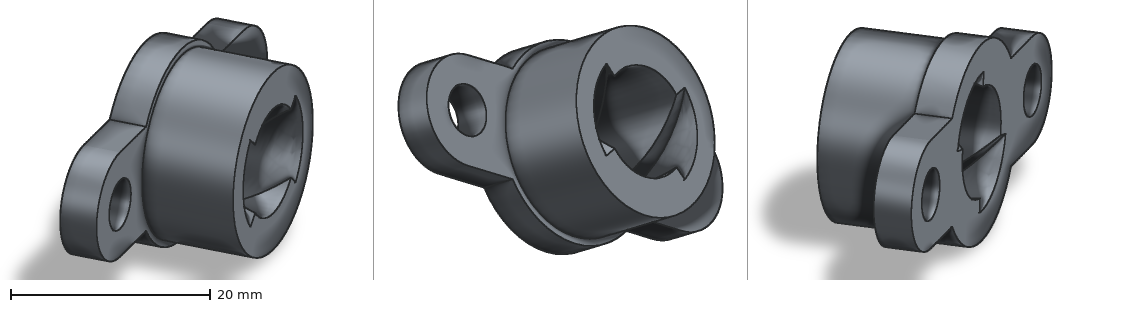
import cadquery as cq
import math

total_width = 42.2
total_depth = 14.0
flange_thickness = 4.0
flange_radius = 10.6
boss_radius = 9.88
bore_radius = 5.82
tab_radius = 5.82
tab_hole_radius = 2.7

groove_radius = 7.4
groove_start_angle = 193.2
groove_span_angle = 81.6
groove_twist_per_unit = 9.003
groove_count = 2

tab_hole_spacing = total_width - 2 * tab_radius


def make_flange():
    """Round disc with two rounded tabs along Y."""
    disc = cq.Workplane("YZ").circle(flange_radius).extrude(flange_thickness)
    tabs = cq.Workplane("YZ").slot2D(total_width, 2 * tab_radius).extrude(flange_thickness)
    tab_holes = (
        cq.Workplane("YZ")
        .rarray(tab_hole_spacing, 0.42, 2, 1)
        .circle(tab_hole_radius)
        .extrude(flange_thickness)
    )
    return disc.union(tabs).cut(tab_holes)


def polar_point(radius, angle):
    """Point in the YZ plane, with the angle in degrees from +Y toward +Z."""
    radians = math.radians(angle)
    return radius * math.cos(radians), radius * math.sin(radians)


def make_groove(start_angle):
    """Sector of the groove circle, twisted about the bore axis."""
    middle_angle = start_angle + groove_span_angle / 2
    end_angle = start_angle + groove_span_angle
    return (
        cq.Workplane("YZ")
        .lineTo(*polar_point(groove_radius, start_angle))
        .threePointArc(polar_point(groove_radius, middle_angle), polar_point(groove_radius, end_angle))
        .close()
        .twistExtrude(total_depth, groove_twist_per_unit * total_depth)
    )


boss = cq.Workplane("YZ").circle(boss_radius).extrude(total_depth)
bore = cq.Workplane("YZ").circle(bore_radius).extrude(total_depth)

result = make_flange().union(boss).cut(bore)
for index in range(groove_count):
    result = result.cut(make_groove(groove_start_angle + index * 360 / groove_count))